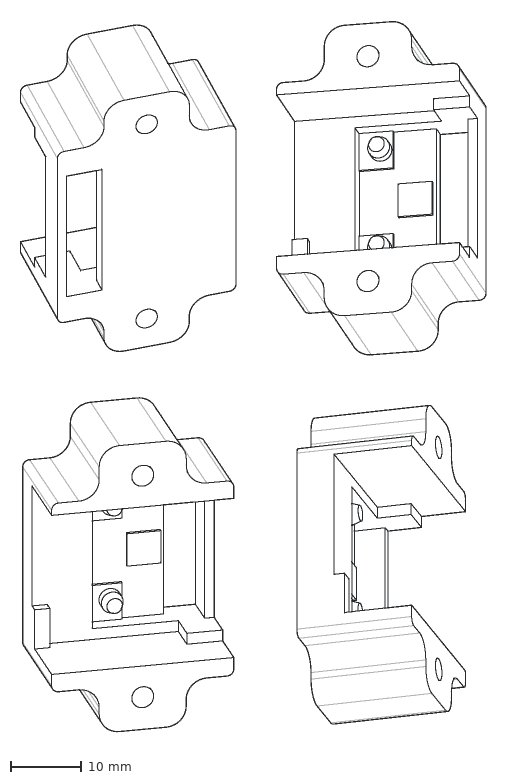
import cadquery as cq

depth = 17.1
width = 26.8
height = 44.0

ear_width = 12.8
ear_radius = 3.0
shoulder_z = 15.0
low_shoulder_z = 14.05
corner_radius = 1.0
screw_hole_diameter = 3.2
screw_hole_z = 17.05

channel_half_height = 12.25
channel_floor_x = 11.55

step_width = 5.3
step_start_x = 6.55

recess_half_height = 10.55
recess_depth = 3.0
recess_top_y = 4.55
end_lip = 1.4
window_width = 5.3

pad_thickness = 0.5
pad_width = 5.0
pad_height = 5.6

pin_y = 1.3
pin_spacing = 15.0
pin_middle_z = 0.2
pin_diameter = 3.2
pin_tip_diameter = 2.3
pin_tip_x = 11.25
pin_taper_length = 1.4

plate_size = 4.95
plate_y = -3.7
plate_thickness = 0.5

stop_width = 2.25
stop_height = 6.05
stop_start_x = 10.05

half_width = width / 2
half_height = height / 2
recess_floor_x = channel_floor_x + recess_depth
recess_bottom_y = -half_width + end_lip


def box(x_range, y_range, z_range):
    """Axis-aligned block between the given (low, high) limits."""
    x_size, y_size, z_size = [high - low for low, high in (x_range, y_range, z_range)]
    corner = (x_range[0], y_range[0], z_range[0])
    return cq.Workplane(origin=corner).box(x_size, y_size, z_size, centered=False)


def make_body():
    """Cross-shaped outline extruded along X, with rounded ears and shoulders."""
    half_ear = ear_width / 2
    ear_zone_y = (half_ear + half_width) / 2
    outline = [
        (-half_width, -shoulder_z),
        (-half_ear, -shoulder_z),
        (-half_ear, -half_height),
        (half_ear, -half_height),
        (half_ear, -shoulder_z),
        (half_width, -shoulder_z),
        (half_width, low_shoulder_z),
        (half_ear, low_shoulder_z),
        (half_ear, half_height),
        (-half_ear, half_height),
        (-half_ear, shoulder_z),
        (-half_width, shoulder_z),
    ]
    body = cq.Workplane("YZ").polyline(outline).close().extrude(depth)

    body = body.faces("<Y or >Y").edges("|X").fillet(corner_radius)
    ear_zone = cq.selectors.BoxSelector((0, -ear_zone_y, -height), (depth, ear_zone_y, height))
    return body.edges("|X").edges(ear_zone).fillet(ear_radius)


def cut_screw_holes(body):
    """Hole along X through each ear."""
    holes = (
        cq.Workplane("YZ")
        .pushPoints([(0, -screw_hole_z), (0, screw_hole_z)])
        .circle(screw_hole_diameter / 2)
        .extrude(depth)
    )
    return body.cut(holes)


def cut_channel(body):
    """Channel with its end steps left standing, then the recess and the window."""
    step_inner_y = -half_width + step_width
    channel_z = (-channel_half_height, channel_half_height)
    recess_z = (-recess_half_height, recess_half_height)
    window_y = (recess_bottom_y, recess_bottom_y + window_width)

    body = body.cut(box((0, channel_floor_x), (step_inner_y, half_width), channel_z))
    body = body.cut(box((0, step_start_x), (-half_width, step_inner_y), channel_z))
    body = body.cut(box((step_start_x, channel_floor_x), (-half_width, step_inner_y), recess_z))
    body = body.cut(box((channel_floor_x, recess_floor_x), (recess_bottom_y, recess_top_y), recess_z))
    return body.cut(box((recess_floor_x, depth), window_y, recess_z))


def make_contact_pads():
    """Pads in the upper and lower +Y corners of the recess."""
    pad_x = (recess_floor_x - pad_thickness, recess_floor_x)
    pad_y = (recess_top_y - pad_width, recess_top_y)
    pad = box(pad_x, pad_y, (recess_half_height - pad_height, recess_half_height))
    return pad.union(pad.mirror("XY"))


def make_pin(z):
    """Pin along X: a cylinder from the recess floor that tapers to a flat tip."""
    taper_start_x = pin_tip_x + pin_taper_length
    profile = [
        (pin_tip_x, 0),
        (pin_tip_x, pin_tip_diameter / 2),
        (taper_start_x, pin_diameter / 2),
        (recess_floor_x, pin_diameter / 2),
        (recess_floor_x, 0),
    ]
    pin = cq.Workplane("XY").polyline(profile).close().revolve(360, (0, 0), (1, 0))
    return pin.translate((0, pin_y, z))


def make_plate():
    """Thin square plate on the recess floor, beside the window."""
    half_plate = plate_size / 2
    return box(
        (recess_floor_x - plate_thickness, recess_floor_x),
        (plate_y - half_plate, plate_y + half_plate),
        (-half_plate, half_plate),
    )


def make_stop():
    """Stop block standing on the channel floor."""
    return box(
        (stop_start_x, channel_floor_x),
        (half_width - stop_width, half_width),
        (-channel_half_height, -channel_half_height + stop_height),
    )


result = cut_channel(cut_screw_holes(make_body()))
result = result.union(make_contact_pads()).union(make_plate()).union(make_stop())
for side in (-1, 1):
    result = result.union(make_pin(pin_middle_z + side * pin_spacing / 2))